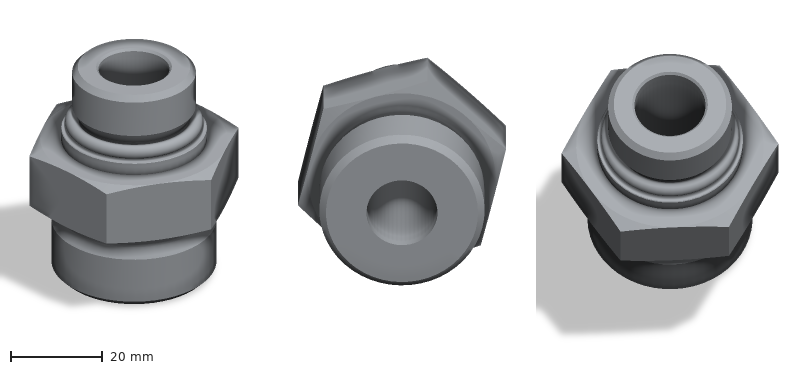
import cadquery as cq
import math

total_height = 50.1
across_flats = 41.0
bore_diameter = 15.5
bore_chamfer = 0.5

lower_diameter = 36.0
lower_groove_diameter = 33.0
lower_end_chamfer = 1.45
lower_land_top = 11.95

hex_bottom = 18.0
hex_top = 32.05
hex_face_diameter = 40.9
hex_chamfer_angle = 15.0

collar_diameter = 31.8
collar_top = 35.0
collar_edge_chamfer = 0.15

upper_diameter = 27.0
upper_groove_diameter = 24.0
upper_end_chamfer = 1.25
upper_land_bottom = 40.5

runout_angle = 30.0
groove_fillet = 1.0

ring_section = 3.0


def runout_length(outer_diameter, inner_diameter):
    """Axial length of the cone between a thread land and its groove."""
    return (outer_diameter - inner_diameter) / 2 / math.tan(math.radians(runout_angle))


def revolve_profile(points):
    """Revolve a closed (radius, height) outline about Z."""
    return cq.Workplane("XZ").polyline(points).close().revolve(360, (0, 0, 0), (0, 1, 0))


def circle_edges_at(body, diameter, height):
    """Select the circular edge with the given diameter and height."""
    tolerance = 0.005
    half = diameter / 2 + tolerance
    box = cq.selectors.BoxSelector(
        (-half, -half, height - tolerance), (half, half, height + tolerance), boundingbox=True
    )
    return body.edges(box)


def make_hexagon():
    """Hexagon with corners on Y and both end faces chamfered by cones."""
    corner_diameter = across_flats / math.cos(math.radians(30))
    prism = (
        cq.Workplane("XY", origin=(0, 0, hex_bottom))
        .polygon(6, corner_diameter)
        .extrude(hex_top - hex_bottom)
        .rotate((0, 0, 0), (0, 0, 1), 30)
    )
    face_radius = hex_face_diameter / 2
    cone_radius = corner_diameter / 2 + 0.5
    drop = (cone_radius - face_radius) * math.tan(math.radians(hex_chamfer_angle))
    envelope = revolve_profile([
        (0, hex_bottom),
        (face_radius, hex_bottom),
        (cone_radius, hex_bottom + drop),
        (cone_radius, hex_top - drop),
        (face_radius, hex_top),
        (0, hex_top),
    ])
    return prism.intersect(envelope)


def make_lower_end():
    """Chamfered thread land, run-out cone and groove below the hexagon."""
    land_radius = lower_diameter / 2
    groove_radius = lower_groove_diameter / 2
    groove_bottom = lower_land_top + runout_length(lower_diameter, lower_groove_diameter)
    end = revolve_profile([
        (0, 0),
        (land_radius - lower_end_chamfer, 0),
        (land_radius, lower_end_chamfer),
        (land_radius, lower_land_top),
        (groove_radius, groove_bottom),
        (groove_radius, hex_bottom),
        (0, hex_bottom),
    ])
    return circle_edges_at(end, lower_groove_diameter, groove_bottom).fillet(groove_fillet)


def make_upper_end():
    """Collar, O-ring groove, run-out cone and chamfered thread land above the hexagon."""
    collar_radius = collar_diameter / 2
    groove_radius = upper_groove_diameter / 2
    land_radius = upper_diameter / 2
    groove_top = upper_land_bottom - runout_length(upper_diameter, upper_groove_diameter)
    end = revolve_profile([
        (0, hex_top),
        (collar_radius, hex_top),
        (collar_radius, collar_top - collar_edge_chamfer),
        (collar_radius - collar_edge_chamfer, collar_top),
        (groove_radius, collar_top),
        (groove_radius, groove_top),
        (land_radius, upper_land_bottom),
        (land_radius, total_height - upper_end_chamfer),
        (land_radius - upper_end_chamfer, total_height),
        (0, total_height),
    ])
    return circle_edges_at(end, upper_groove_diameter, groove_top).fillet(groove_fillet)


def make_fitting():
    """Hexagon fitting with both threaded ends and a through bore."""
    body = make_hexagon().union(make_lower_end()).union(make_upper_end())
    body = circle_edges_at(body, lower_groove_diameter, hex_bottom).fillet(groove_fillet)
    body = body.cut(cq.Workplane("XY").circle(bore_diameter / 2).extrude(total_height))
    return circle_edges_at(body, bore_diameter, total_height).chamfer(bore_chamfer)


def make_o_ring():
    """O-ring seated on the collar and around the upper groove."""
    section_radius = ring_section / 2
    ring_radius = upper_groove_diameter / 2 + section_radius
    return (
        cq.Workplane("XZ")
        .center(ring_radius, collar_top + section_radius)
        .circle(section_radius)
        .revolve(360, (-ring_radius, 0, 0), (-ring_radius, 1, 0))
    )


fitting = make_fitting()
o_ring = make_o_ring()

result = cq.Compound.makeCompound([fitting.solids().val(), o_ring.val()])